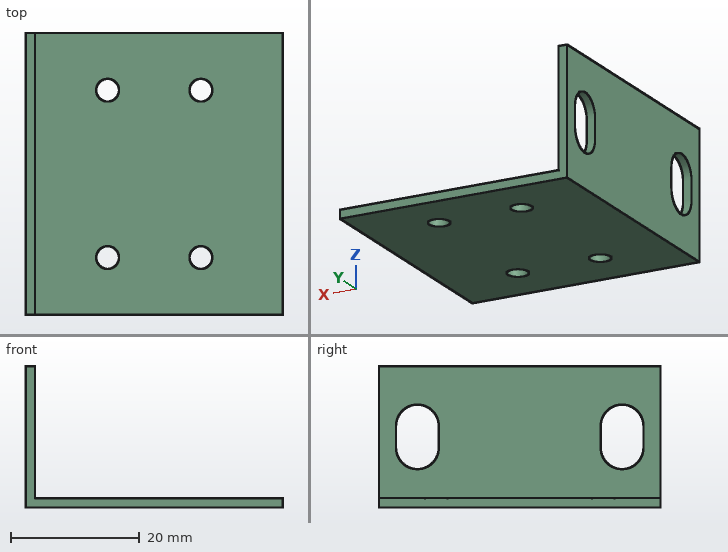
import cadquery as cq

length = 40.0
width = 43.8
height = 22.0
thickness = 1.5

hole_diameter = 3.5
hole_spacing_x = 14.5
hole_spacing_y = 26.0
hole_center_x = 20.0

slot_length = 10.0
slot_width = 6.6
slot_spacing = 31.8
slot_center_z = height / 2


def make_angle():
    """L-shaped plate: base on the XY plane, wall along its X = 0 edge, centred on Y."""
    base = cq.Workplane("XY").box(length, width, thickness, centered=(False, True, False))
    wall = cq.Workplane("XY").box(thickness, width, height, centered=(False, True, False))
    return base.union(wall)


def make_base_holes():
    """Cutters for the rectangular pattern of round holes in the base."""
    return (
        cq.Workplane("XY")
        .center(hole_center_x, 0)
        .rarray(hole_spacing_x, hole_spacing_y, 2, 2)
        .circle(hole_diameter / 2)
        .extrude(thickness)
    )


def make_wall_slots():
    """Cutters for the pair of vertical slots in the wall."""
    return (
        cq.Workplane("YZ")
        .pushPoints([(side * slot_spacing / 2, slot_center_z) for side in (-1, 1)])
        .slot2D(slot_length, slot_width, angle=90)
        .extrude(thickness)
    )


result = make_angle().cut(make_base_holes()).cut(make_wall_slots())